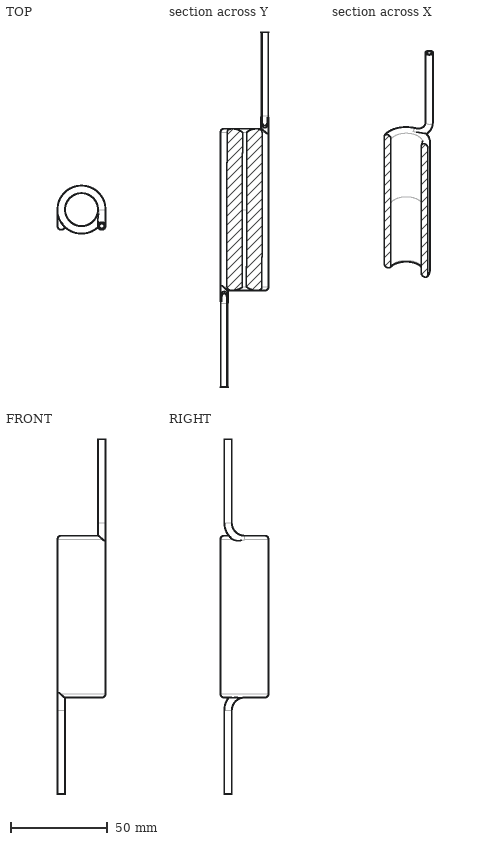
import cadquery as cq
import math

coil_outer_diameter = 25.0
coil_inner_diameter = 17.0
coil_length = 84.0
tube_bore_diameter = 2.6
lead_reach = 50.0
bend_radius = 8.5

tube_diameter = (coil_outer_diameter - coil_inner_diameter) / 2
winding_radius = (coil_outer_diameter - tube_diameter) / 2
last_turn_z = (coil_length - tube_diameter) / 2
lead_tip_z = coil_length / 2 + lead_reach


def make_upper_coil():
    """Upper half of the sleeve along Z; its end rim is fully rounded, like the last turn."""
    inner_radius = coil_inner_diameter / 2
    outer_radius = coil_outer_diameter / 2
    wall_section = (
        cq.Workplane("XZ")
        .moveTo(outer_radius, 0)
        .lineTo(outer_radius, last_turn_z)
        .threePointArc((winding_radius, coil_length / 2), (inner_radius, last_turn_z))
        .lineTo(inner_radius, 0)
        .close()
    )
    return wall_section.revolve(360, (0, 0, 0), (0, 1, 0))


def sweep_upper_lead(diameter):
    """Round bar leaving the top turn toward -Y, then bending up along +Z."""
    bend_end_z = last_turn_z + bend_radius
    bend_middle_y = -bend_radius * math.sin(math.pi / 4)
    bend_middle_z = bend_end_z - bend_radius * math.cos(math.pi / 4)
    path = (
        cq.Workplane("YZ", origin=(winding_radius, 0, 0))
        .moveTo(0, last_turn_z)
        .threePointArc((bend_middle_y, bend_middle_z), (-bend_radius, bend_end_z))
        .lineTo(-bend_radius, lead_tip_z)
    )
    start_section = cq.Workplane("XZ", origin=(winding_radius, 0, last_turn_z)).circle(diameter / 2)
    return start_section.sweep(path)


def make_upper_half():
    """Half of the coil with its lead; the bore is open at the tip and ends at the last turn."""
    lead = sweep_upper_lead(tube_diameter)
    bore = sweep_upper_lead(tube_bore_diameter)
    return make_upper_coil().union(lead).cut(bore)


upper_half = make_upper_half()
lower_half = upper_half.rotate((0, 0, 0), (0, 1, 0), 180)
result = upper_half.union(lower_half, clean=True)